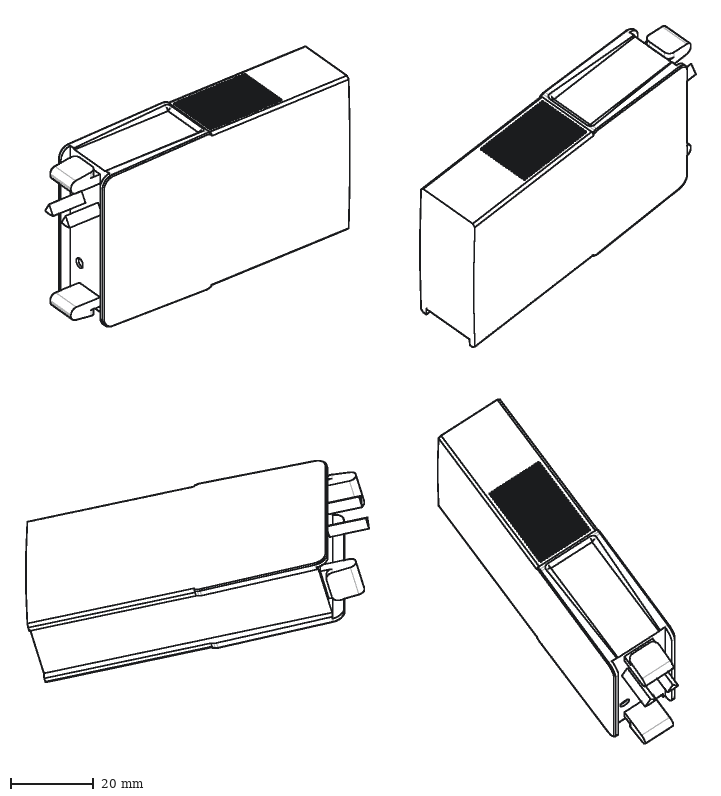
import cadquery as cq
import math

WIDTH = 18.0
HALF_WIDTH = WIDTH / 2
BACK_Y = 41.1
BACK_CORNER_Y = 40.7
STEP_START_Y = -1.0
STEP_CREST_Y = -2.0
FRONT_Y = -34.0
REAR_TOP_Z = 22.1
CREST_Z = 22.5
FRONT_TOP_Z = 21.7
CREST_RADIUS = 1.65
FRONT_CORNER_RADIUS = 3.1
REAR_CHAMFER = 0.7
FRONT_CHAMFER = 0.3

WALL_Y = -31.2
BAY_WIDTH = 15.6

CHANNEL_WIDTH = 14.45
CHANNEL_TOP_Z = -20.0

PANEL_WIDTH = 12.1
PANEL_REAR_Y = -2.8
PANEL_Z = 21.5
PANEL_WALL_ANGLE = 55.0

GRIP_WIDTH = 14.7
GRIP_FRONT_Y = -0.2
GRIP_LENGTH = 21.8
GROOVE_ANGLE = 45.0
GROOVE_PITCH = 0.6
GROOVE_WIDTH = 0.295
GROOVE_DEPTH = 0.25

HOLE_X = -4.0
HOLE_Z = -10.0
HOLE_DIAMETER = 2.6
HOLE_DEPTH = 0.65

LATCH_WIDTH = 8.3
LATCH_TIP_Y = -40.1
LATCH_RADIUS = 1.65
LATCH_TIP_HEIGHT = 3.45
LATCH_SHELF_HEIGHT = 2.6
HOOK_HEIGHT = 4.5
HOOK_REAR_Y = -32.4
HOOK_CORNER_RADIUS = 1.65
UPPER_LATCH_Z = 17.0
LOWER_LATCH_Z = -15.7

PIN_X = 3.3
PIN_TIP_Y = -41.1
PIN_BASE_Z = 8.5
PIN_HEIGHT = 2.6
PIN_BASE_WIDTH = 3.2
PIN_BASE_BULGE = 0.25


def centred_box(width, y_min, y_max, z_min, z_max):
    """Box centred on X = 0 between the given Y and Z limits."""
    size = (width, y_max - y_min, z_max - z_min)
    return cq.Workplane("XY").box(*size, centered=(True, False, False)).translate((0, y_min, z_min))


def rear_block():
    """Rear half with a slightly bowed back and chamfered edges."""
    block = (
        cq.Workplane("YZ")
        .moveTo(STEP_CREST_Y, -REAR_TOP_Z)
        .lineTo(BACK_CORNER_Y, -REAR_TOP_Z)
        .threePointArc((BACK_Y, 0), (BACK_CORNER_Y, REAR_TOP_Z))
        .lineTo(STEP_CREST_Y, REAR_TOP_Z)
        .close()
        .extrude(HALF_WIDTH, both=True)
    )
    return block.edges("|Y").chamfer(REAR_CHAMFER)


def front_block():
    """Taller front half, tapering to the front, with rounded front corners."""
    block = (
        cq.Workplane("YZ")
        .polyline([
            (STEP_START_Y, -REAR_TOP_Z),
            (STEP_START_Y, REAR_TOP_Z),
            (STEP_CREST_Y, CREST_Z),
            (FRONT_Y, FRONT_TOP_Z),
            (FRONT_Y, -FRONT_TOP_Z),
            (STEP_CREST_Y, -CREST_Z),
        ])
        .close()
        .extrude(HALF_WIDTH, both=True)
    )
    block = block.edges("|X and <Y").fillet(FRONT_CORNER_RADIUS)
    block = block.edges("|X and (<Z or >Z)").fillet(CREST_RADIUS)
    return block.faces("<X or >X").edges("not(|Z and >Y)").chamfer(FRONT_CHAMFER)


def sunken_panel():
    """Cutter with sloping walls, open towards the front."""
    depth = CREST_Z - PANEL_Z
    length = PANEL_REAR_Y - FRONT_Y
    return (
        cq.Workplane("XY", origin=(0, PANEL_REAR_Y - length / 2, PANEL_Z))
        .rect(PANEL_WIDTH, length)
        .extrude(depth, taper=-PANEL_WALL_ANGLE)
    )


def grip_grooves():
    """Parallel diagonal grooves trimmed to the rectangular patch."""
    patch = centred_box(
        GRIP_WIDTH, GRIP_FRONT_Y, GRIP_FRONT_Y + GRIP_LENGTH, REAR_TOP_Z - GROOVE_DEPTH, REAR_TOP_Z
    )
    reach = GRIP_WIDTH + GRIP_LENGTH
    angle = math.radians(GROOVE_ANGLE)
    spread = GRIP_WIDTH * math.sin(angle) + GRIP_LENGTH * math.cos(angle)
    count = math.ceil(spread / GROOVE_PITCH)
    bars = (
        cq.Workplane("XY", origin=(0, GRIP_FRONT_Y + GRIP_LENGTH / 2, REAR_TOP_Z - GROOVE_DEPTH))
        .transformed(rotate=(0, 0, GROOVE_ANGLE))
        .rarray(0.8, GROOVE_PITCH, 1, count)
        .rect(reach, GROOVE_WIDTH)
        .extrude(GROOVE_DEPTH)
    )
    return bars.intersect(patch)


def build_housing():
    housing = rear_block().union(front_block())
    housing = housing.cut(centred_box(BAY_WIDTH, FRONT_Y, WALL_Y, -CREST_Z, CREST_Z))
    housing = housing.cut(centred_box(CHANNEL_WIDTH, FRONT_Y, BACK_Y, -CREST_Z, CHANNEL_TOP_Z))
    housing = housing.cut(sunken_panel())
    housing = housing.cut(grip_grooves())
    hole = (
        cq.Workplane("XZ", origin=(HOLE_X, WALL_Y, HOLE_Z))
        .circle(HOLE_DIAMETER / 2)
        .extrude(-HOLE_DEPTH)
    )
    return housing.cut(hole)


def build_latch():
    """Latch with its flat side on Z = 0 and its hook pointing up."""
    hook = (
        cq.Workplane("YZ")
        .polyline([
            (HOOK_REAR_Y, 0),
            (HOOK_REAR_Y, HOOK_HEIGHT),
            (LATCH_TIP_Y, LATCH_TIP_HEIGHT),
            (LATCH_TIP_Y, 0),
        ])
        .close()
        .extrude(LATCH_WIDTH / 2, both=True)
    )
    hook = hook.edges("|X and <Y").fillet(LATCH_RADIUS)
    hook = hook.edges("|Z and >Y").fillet(HOOK_CORNER_RADIUS)
    shelf_front_y = HOOK_REAR_Y - HOOK_CORNER_RADIUS
    shelf = centred_box(LATCH_WIDTH, shelf_front_y, WALL_Y, 0, LATCH_SHELF_HEIGHT)
    return hook.union(shelf)


def build_pin(x):
    """Three-sided pin with its ridge up and a slightly rounded base."""
    half_base = PIN_BASE_WIDTH / 2
    return (
        cq.Workplane("XZ", origin=(x, WALL_Y, PIN_BASE_Z))
        .moveTo(-half_base, 0)
        .lineTo(0, PIN_HEIGHT)
        .lineTo(half_base, 0)
        .threePointArc((0, -PIN_BASE_BULGE), (-half_base, 0))
        .close()
        .extrude(WALL_Y - PIN_TIP_Y)
    )


housing = build_housing()
upper_latch = build_latch().translate((0, 0, UPPER_LATCH_Z))
lower_latch = build_latch().mirror("XY").translate((0, 0, LOWER_LATCH_Z))
pins = [build_pin(x) for x in (-PIN_X, PIN_X)]

result = cq.Compound.makeCompound(
    [housing.val(), upper_latch.val(), lower_latch.val(), *[pin.val() for pin in pins]]
)